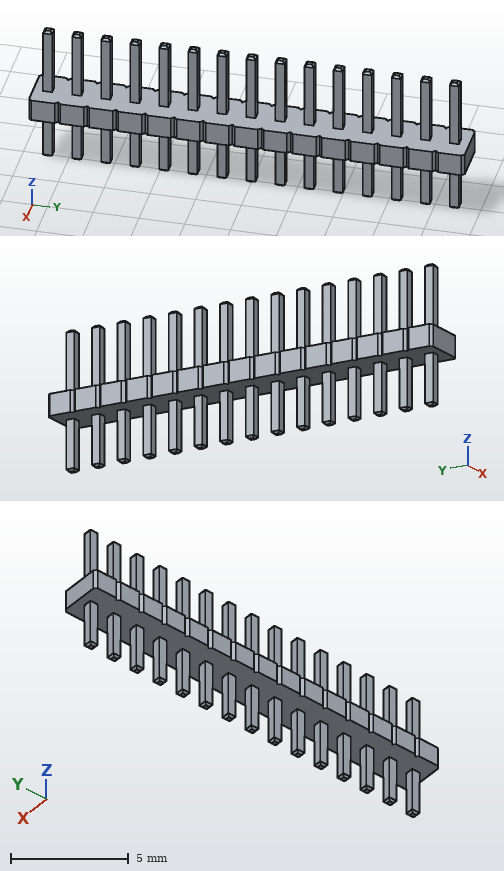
import cadquery as cq

pin_count = 15
body_length = 19.05
body_width = 2.1
body_height = 1.0
pin_width = 0.4
pin_length = 6.3
pin_below_body = 2.3

pitch = body_length / pin_count
corner_bevel = pitch / 10

tip_width = pin_width / 2
tip_height = (pin_width - tip_width) / 2


def position_y(index):
    """Centre of one pin position, with the row centred on the origin."""
    return (index - (pin_count - 1) / 2) * pitch


def make_segment():
    """Insulator block for one pin, standing on Z = 0."""
    block = cq.Workplane("XY").box(body_width, pitch, body_height, centered=(True, True, False))
    return block.edges("|Z").chamfer(corner_bevel)


def make_tip(shoulder_z, direction):
    """Square pyramid frustum that tapers the end of a pin up (1) or down (-1)."""
    return (
        cq.Workplane("XY", origin=(0, 0, shoulder_z))
        .rect(pin_width, pin_width)
        .workplane(offset=direction * tip_height)
        .rect(tip_width, tip_width)
        .loft(ruled=True)
    )


def make_pin():
    """Straight square pin with a tapered tip at both ends."""
    lower_shoulder = tip_height - pin_below_body
    shank_length = pin_length - 2 * tip_height
    shank = (
        cq.Workplane("XY", origin=(0, 0, lower_shoulder))
        .rect(pin_width, pin_width)
        .extrude(shank_length)
    )
    lower_tip = make_tip(lower_shoulder, -1)
    upper_tip = make_tip(lower_shoulder + shank_length, 1)
    return shank.union(lower_tip).union(upper_tip)


segment_with_pin = make_segment().union(make_pin())
result = segment_with_pin.translate((0, position_y(0), 0))
for index in range(1, pin_count):
    result = result.union(segment_with_pin.translate((0, position_y(index), 0)))

result = result.clean()